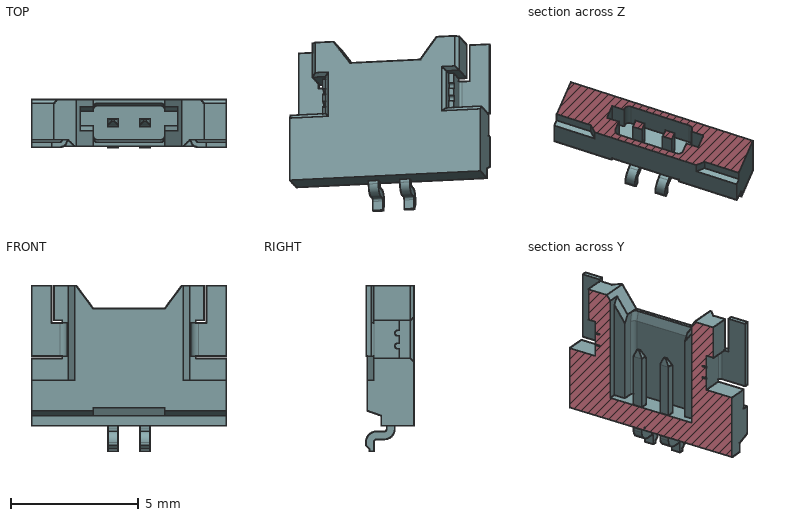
import cadquery as cq
import math


housing_width = 7.65
housing_depth = 1.84
housing_height = 5.5

tower_width = 5.89
shoulder_height = 2.65
back_chamfer = 0.145

clip_gap = 0.09
clip_height = 1.31
clip_bottom = shoulder_height + clip_gap
clip_bend_top = clip_bottom + clip_height
notch_top = clip_bend_top + clip_gap

recess_depth = 0.25
recess_bottom = 1.79
recess_inner_x = 2.39

mouth_bottom = 4.61
mouth_half_top = 2.065
cavity_half_width = 1.41

heel_depth = 0.54
heel_height = 0.4
heel_slope_top = 0.59
heel_relief_top = 0.7
heel_relief_depth = 0.38

cavity_floor = 0.995
cavity_front = 0.25
cavity_back = 1.6
cavity_corner_radius = 0.18
lead_in_width = 0.1
lead_in_height = 0.38

key_half_width = 1.905
key_front = 0.81
key_back = 1.37
key_lead_in_width = 0.19
key_lead_in_height = 0.305

clip_overhang = 0.04
clip_thickness = 0.2
clip_bend_radius = 0.3
clip_bend_x = 2.425
clip_wing_inner_x = 3.04
clip_leg_end_y = 1.26
leg_slot_width = 0.215
leg_slot_depth = 0.175
leg_slot_heights = (3.14, 3.64)

pin_pitch = 1.255
pin_overhang = 0.05
pin_width = 0.4
pin_thickness = 0.32
pin_center_y = (cavity_front + cavity_back) / 2
pin_tip_z = 3.44
pin_front_bevel_height = 0.11
pin_front_bevel = 0.08
pin_taper_height = 0.305
pin_tip_width = 0.11
pin_tip_depth = 0.08
pin_tip_setback = 0.03
pin_bend_radius = 0.1
tail_top = -0.215
foot_bottom = -1.0
foot_chamfer_top = -0.765
foot_chamfer = 0.14

half_width = housing_width / 2
tower_half = tower_width / 2
leg_outer_x = clip_bend_x + clip_thickness
mouth_depth = housing_height - mouth_bottom


def box(x0, x1, y0, y1, z0, z1):
    """Box between two opposite corners."""
    return cq.Workplane("XY").box(x1 - x0, y1 - y0, z1 - z0, centered=False).translate((x0, y0, z0))


def prism_along_y(points, y0, y1):
    """Prism with an (x, z) outline, from y0 to y1."""
    return cq.Workplane("XZ", origin=(0, y0, 0)).polyline(points).close().extrude(y0 - y1)


def prism_along_x(points, half_length):
    """Prism with a (y, z) outline, centred on x = 0."""
    return cq.Workplane("YZ").polyline(points).close().extrude(half_length, both=True)


def both_sides(shape):
    """The shape together with its mirror image across x = 0."""
    return shape.union(shape.mirror("YZ"))


def make_shell():
    """Wide base and two towers, with clip notches and chamfered back edges."""
    right_outline = [
        (half_width, 0),
        (half_width, shoulder_height),
        (clip_bend_x, shoulder_height),
        (clip_bend_x, notch_top),
        (tower_half, notch_top),
        (tower_half, housing_height),
    ]
    left_outline = [(-x, z) for x, z in reversed(right_outline)]
    shell = prism_along_y(right_outline + left_outline, 0, housing_depth)

    margin = 0.01
    upper_back_edges = cq.selectors.BoxSelector(
        (-half_width, housing_depth - margin, shoulder_height - margin),
        (half_width, housing_depth + margin, housing_height - margin),
    )
    return shell.edges(upper_back_edges).chamfer(back_chamfer)


def make_mouth():
    """Flared opening cut through the top, leaving a tower at each end."""
    return prism_along_y(
        [
            (-mouth_half_top, housing_height),
            (-cavity_half_width, mouth_bottom),
            (cavity_half_width, mouth_bottom),
            (mouth_half_top, housing_height),
        ],
        0,
        housing_depth,
    )


def make_front_recesses():
    """Shallow front recess behind each clip, with a 45 degree inner side."""
    side = (
        cq.Workplane("XY", origin=(0, 0, recess_bottom))
        .polyline(
            [
                (half_width, 0),
                (recess_inner_x - recess_depth, 0),
                (recess_inner_x, recess_depth),
                (half_width, recess_depth),
            ]
        )
        .close()
        .extrude(housing_height - recess_bottom)
    )
    return both_sides(side)


def make_heel_cut():
    """Sloped step along the lower front edge, with a deeper relief in the middle."""
    step = [(0, 0), (heel_depth, 0), (heel_depth, heel_height), (0, heel_slope_top)]
    relief = [
        (0, heel_height),
        (heel_depth, heel_height),
        (heel_relief_depth, heel_relief_top),
        (0, heel_relief_top),
    ]
    return prism_along_x(step, half_width).union(prism_along_x(relief, cavity_half_width))


def make_cavity():
    """Round-cornered cavity that widens front and back towards its mouth."""
    width = 2 * cavity_half_width
    depth = cavity_back - cavity_front
    lead_in_bottom = mouth_bottom - lead_in_height

    def section(z, section_depth):
        sketch = cq.Sketch().rect(width, section_depth).vertices().fillet(cavity_corner_radius)
        return sketch.moved(cq.Location(cq.Vector(0, pin_center_y, z)))

    straight = (
        cq.Workplane("XY").placeSketch(section(cavity_floor, depth)).extrude(mouth_bottom - cavity_floor)
    )
    lead_in = (
        cq.Workplane("XY")
        .placeSketch(section(lead_in_bottom, depth), section(mouth_bottom, depth + 2 * lead_in_width))
        .loft(ruled=True)
    )
    return straight.union(lead_in)


def make_key_slots():
    """Key slot into each tower, with a lead-in that follows the sloped mouth side."""
    slot = box(0, key_half_width, key_front, key_back, cavity_floor, housing_height)

    key_run = key_half_width - cavity_half_width
    key_rise = key_run * mouth_depth / (mouth_half_top - cavity_half_width)
    lead_in_bottom = mouth_bottom - key_lead_in_height
    corners = [
        (key_front, lead_in_bottom),
        (key_front - key_lead_in_width, mouth_bottom),
        (key_back + key_lead_in_width, mouth_bottom),
        (key_back, lead_in_bottom),
    ]
    wire = cq.Wire.makePolygon([cq.Vector(cavity_half_width, y, z) for y, z in corners], close=True)
    lead_in = cq.Solid.extrudeLinear(wire, [], cq.Vector(key_run, 0, key_rise))
    return both_sides(slot.union(cq.Workplane(lead_in)))


def make_leg_slot(center_z):
    """Round-ended slot across the back end of a clip leg."""
    radius = leg_slot_width / 2
    round_y = clip_leg_end_y - leg_slot_depth + radius
    return (
        cq.Workplane("YZ", origin=(clip_bend_x, 0, 0))
        .moveTo(clip_leg_end_y, center_z - radius)
        .lineTo(round_y, center_z - radius)
        .threePointArc((round_y - radius, center_z), (round_y, center_z + radius))
        .lineTo(clip_leg_end_y, center_z + radius)
        .close()
        .extrude(clip_thickness)
    )


def make_clips():
    """Flat wing in front of the housing, folded back to a slotted leg on the notch wall."""
    front = -clip_overhang
    back = front + clip_thickness
    bend_start_x = clip_bend_x + clip_bend_radius
    bend_center_y = front + clip_bend_radius
    inner_radius = clip_bend_radius - clip_thickness
    diagonal = math.sqrt(0.5)

    folded_strip = (
        cq.Workplane("XY", origin=(0, 0, clip_bottom))
        .moveTo(half_width, front)
        .lineTo(bend_start_x, front)
        .threePointArc(
            (bend_start_x - clip_bend_radius * diagonal, bend_center_y - clip_bend_radius * diagonal),
            (clip_bend_x, bend_center_y),
        )
        .lineTo(leg_outer_x, bend_center_y)
        .threePointArc(
            (bend_start_x - inner_radius * diagonal, bend_center_y - inner_radius * diagonal),
            (bend_start_x, back),
        )
        .lineTo(half_width, back)
        .close()
        .extrude(clip_height)
    )
    upper_wing = box(clip_wing_inner_x, half_width, front, back, clip_bend_top, housing_height)
    leg = box(clip_bend_x, leg_outer_x, recess_depth, clip_leg_end_y, shoulder_height, notch_top)
    for slot_z in leg_slot_heights:
        leg = leg.cut(make_leg_slot(slot_z))
    return both_sides(folded_strip.union(upper_wing).union(leg))


def make_pin(center_x):
    """Straight contact with a tapered tip, and a tail bent forward then down to a foot."""
    leg_front = pin_center_y - pin_thickness / 2
    leg_back = leg_front + pin_thickness
    tail_bottom = tail_top - pin_thickness
    foot_front = -pin_overhang
    foot_back = foot_front + pin_thickness
    outer_radius = pin_bend_radius + pin_thickness
    upper_bend = (leg_front - pin_bend_radius, tail_top + pin_bend_radius)
    lower_bend = (foot_back + pin_bend_radius, tail_bottom - pin_bend_radius)
    taper_bottom = pin_tip_z - pin_taper_height
    bevel_bottom = taper_bottom - pin_front_bevel_height

    def on_bend(center, radius, side):
        offset = side * radius * math.sqrt(0.5)
        return (center[0] + offset, center[1] - offset)

    bent_strip = (
        cq.Workplane("YZ", origin=(center_x, 0, 0))
        .moveTo(leg_back, taper_bottom)
        .lineTo(leg_back, upper_bend[1])
        .threePointArc(on_bend(upper_bend, outer_radius, 1), (upper_bend[0], tail_bottom))
        .lineTo(lower_bend[0], tail_bottom)
        .threePointArc(on_bend(lower_bend, pin_bend_radius, -1), (foot_back, lower_bend[1]))
        .lineTo(foot_back, foot_bottom)
        .lineTo(foot_front + foot_chamfer, foot_bottom)
        .lineTo(foot_front + foot_chamfer, foot_chamfer_top - foot_chamfer)
        .lineTo(foot_front, foot_chamfer_top)
        .lineTo(foot_front, lower_bend[1])
        .threePointArc(on_bend(lower_bend, outer_radius, -1), (lower_bend[0], tail_top))
        .lineTo(upper_bend[0], tail_top)
        .threePointArc(on_bend(upper_bend, pin_bend_radius, 1), (leg_front, upper_bend[1]))
        .lineTo(leg_front, bevel_bottom)
        .lineTo(leg_front + pin_front_bevel, taper_bottom)
        .close()
        .extrude(pin_width / 2, both=True)
    )
    taper_base_depth = pin_thickness - pin_front_bevel
    taper_base_y = leg_back - taper_base_depth / 2
    tip_y = leg_back - pin_tip_setback - pin_tip_depth / 2
    tip = (
        cq.Workplane("XY", origin=(center_x, taper_base_y, taper_bottom))
        .rect(pin_width, taper_base_depth)
        .workplane(offset=pin_taper_height)
        .center(0, tip_y - taper_base_y)
        .rect(pin_tip_width, pin_tip_depth)
        .loft(ruled=True)
    )
    return bent_strip.union(tip)


result = (
    make_shell()
    .cut(make_mouth())
    .cut(make_front_recesses())
    .cut(make_heel_cut())
    .cut(make_cavity())
    .cut(make_key_slots())
    .union(make_clips())
)
for pin_side in (-1, 1):
    result = result.union(make_pin(pin_side * pin_pitch / 2))